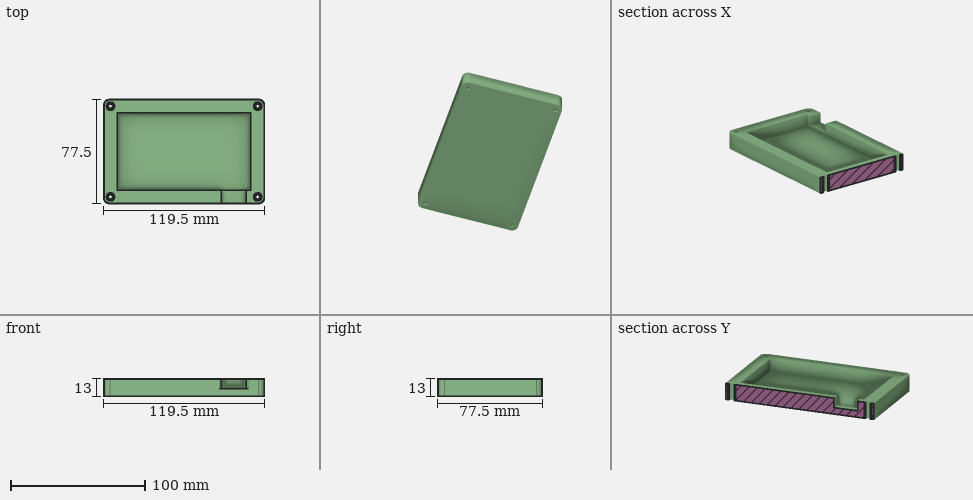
import cadquery as cq

LENGTH = 119.5
WIDTH = 77.5
HEIGHT = 13.0
CORNER_RADIUS = 4.5
WALL = 10.0

POCKET_DEPTH = 10.0

NOTCH_LEFT = 27.6
NOTCH_WIDTH = 18.6
NOTCH_DEPTH = 7.5
NOTCH_EDGE_RADIUS = 1.0

SLEEVE_DIAMETER = 6.0
SLEEVE_BORE = 3.3
SLEEVE_INSET = 5.0

FRONT_Y = -WIDTH / 2
TOP_PLANE = cq.Workplane("XY").workplane(offset=HEIGHT)

sleeve_x = LENGTH / 2 - SLEEVE_INSET
sleeve_y = WIDTH / 2 - SLEEVE_INSET
sleeve_centers = [(sx * sleeve_x, sy * sleeve_y) for sx in (-1, 1) for sy in (-1, 1)]


def make_tray_block():
    """Solid block with rounded vertical corners, standing on Z = 0."""
    block = cq.Workplane("XY").box(LENGTH, WIDTH, HEIGHT, centered=(True, True, False))
    return block.edges("|Z").fillet(CORNER_RADIUS)


def make_pocket():
    """Cutter for the pocket, leaving an even wall all round."""
    return TOP_PLANE.rect(LENGTH - 2 * WALL, WIDTH - 2 * WALL).extrude(-POCKET_DEPTH)


def make_notch():
    """Cutter for the front notch, flaring outward in two arcs at the front face."""
    left = NOTCH_LEFT
    right = NOTCH_LEFT + NOTCH_WIDTH
    back_y = FRONT_Y + WALL
    arc_y = FRONT_Y + NOTCH_EDGE_RADIUS
    return (
        TOP_PLANE.moveTo(left, back_y)
        .lineTo(right, back_y)
        .lineTo(right, arc_y)
        .radiusArc((right + NOTCH_EDGE_RADIUS, FRONT_Y), -NOTCH_EDGE_RADIUS)
        .lineTo(left - NOTCH_EDGE_RADIUS, FRONT_Y)
        .radiusArc((left, arc_y), -NOTCH_EDGE_RADIUS)
        .close()
        .extrude(-NOTCH_DEPTH)
    )


def make_sleeve_holes():
    """Cutters for the through holes that hold the sleeves."""
    return cq.Workplane("XY").pushPoints(sleeve_centers).circle(SLEEVE_DIAMETER / 2).extrude(HEIGHT)


def make_tray():
    return make_tray_block().cut(make_pocket()).cut(make_notch()).cut(make_sleeve_holes())


def make_sleeve(center):
    """Plain tube as tall as the tray."""
    return (
        cq.Workplane("XY")
        .center(*center)
        .circle(SLEEVE_DIAMETER / 2)
        .circle(SLEEVE_BORE / 2)
        .extrude(HEIGHT)
    )


tray = make_tray()
sleeves = [make_sleeve(center) for center in sleeve_centers]

result = cq.Compound.makeCompound([tray.val(), *[sleeve.val() for sleeve in sleeves]])